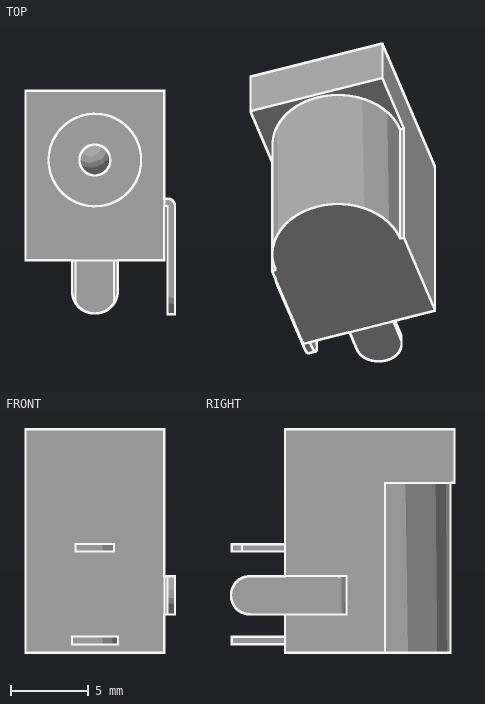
import cadquery as cq
import math

height = 14.5
body_width = 9.0
body_depth = 11.0
back_y = body_width / 2
front_y = back_y - body_depth
head_height = 3.5
barrel_radius = 4.25

socket_radius = 3.0
socket_depth = 8.99
pin_radius = 1.0
pin_tip_depth = 1.2
pin_tip_fillet = 0.94

front_tab_reach = 3.45
side_tab_reach = 3.5
tab_thickness = 0.5
tab_end_radius = 1.5
lower_tab_z = 0.55
upper_tab_z = 6.55
upper_tab_width = 2.5
front_tip_y = front_y - front_tab_reach
side_tip_y = front_y - side_tab_reach

side_tab_width = 2.5
side_tab_z = 2.48
side_tab_offset = 0.7
side_tab_root_y = -2.5
bend_outer_radius = 0.5
embed = 0.29


def make_housing():
    """Square-topped block whose lower rear half is a round barrel."""
    head = (
        cq.Workplane("XY", origin=(0, 0, height - head_height))
        .rect(body_width, body_width)
        .extrude(head_height)
    )
    block = cq.Workplane("XY").box(body_width, -front_y, height, centered=(True, False, False))
    block = block.translate((0, front_y, 0))
    barrel = cq.Workplane("XY").circle(barrel_radius).extrude(height)
    return block.union(head).union(barrel)


def make_socket():
    """Blind round bore entering from the top."""
    floor = cq.Workplane("XY", origin=(0, 0, height - socket_depth))
    return floor.circle(socket_radius).extrude(socket_depth)


def make_centre_pin():
    """Round contact with a domed tip that keeps a tiny flat, rooted in the socket floor."""
    floor_z = height - socket_depth - embed
    length = height - pin_tip_depth - floor_z
    pin = cq.Workplane("XY", origin=(0, 0, floor_z)).circle(pin_radius).extrude(length)
    return pin.faces(">Z").edges().fillet(pin_tip_fillet)


def make_front_tab(width, bottom_z):
    """Flat tab with its end on an arc of tab_end_radius, trimmed to its width."""
    half = width / 2
    arc_centre_y = front_tip_y + tab_end_radius
    shoulder_y = arc_centre_y - math.sqrt(tab_end_radius**2 - half**2)
    return (
        cq.Workplane("XY", origin=(0, 0, bottom_z))
        .moveTo(-half, front_y + embed)
        .lineTo(-half, shoulder_y)
        .threePointArc((0, front_tip_y), (half, shoulder_y))
        .lineTo(half, front_y + embed)
        .close()
        .extrude(tab_thickness)
    )


def make_side_tab():
    """Strip leaving the +X wall, bent towards -Y, with a full-round end."""
    wall_x = body_width / 2
    outer_x = wall_x + side_tab_offset
    inner_x = outer_x - tab_thickness
    inner_y = side_tab_root_y - tab_thickness
    end_radius = side_tab_width / 2
    strip = (
        cq.Workplane("XY", origin=(0, 0, side_tab_z))
        .moveTo(wall_x - embed, side_tab_root_y)
        .lineTo(outer_x - bend_outer_radius, side_tab_root_y)
        .radiusArc((outer_x, side_tab_root_y - bend_outer_radius), bend_outer_radius)
        .lineTo(outer_x, side_tip_y)
        .lineTo(inner_x, side_tip_y)
        .lineTo(inner_x, inner_y)
        .lineTo(wall_x - embed, inner_y)
        .close()
        .extrude(side_tab_width)
    )
    mid_z = side_tab_z + end_radius
    profile = (
        cq.Workplane("YZ")
        .moveTo(side_tab_root_y, side_tab_z)
        .lineTo(side_tip_y + end_radius, side_tab_z)
        .threePointArc((side_tip_y, mid_z), (side_tip_y + end_radius, side_tab_z + side_tab_width))
        .lineTo(side_tab_root_y, side_tab_z + side_tab_width)
        .close()
        .extrude(outer_x)
    )
    return strip.intersect(profile)


lower_tab = make_front_tab(2 * tab_end_radius, lower_tab_z)
upper_tab = make_front_tab(upper_tab_width, upper_tab_z)
result = make_housing().cut(make_socket()).union(make_centre_pin())
result = result.union(lower_tab).union(upper_tab).union(make_side_tab())